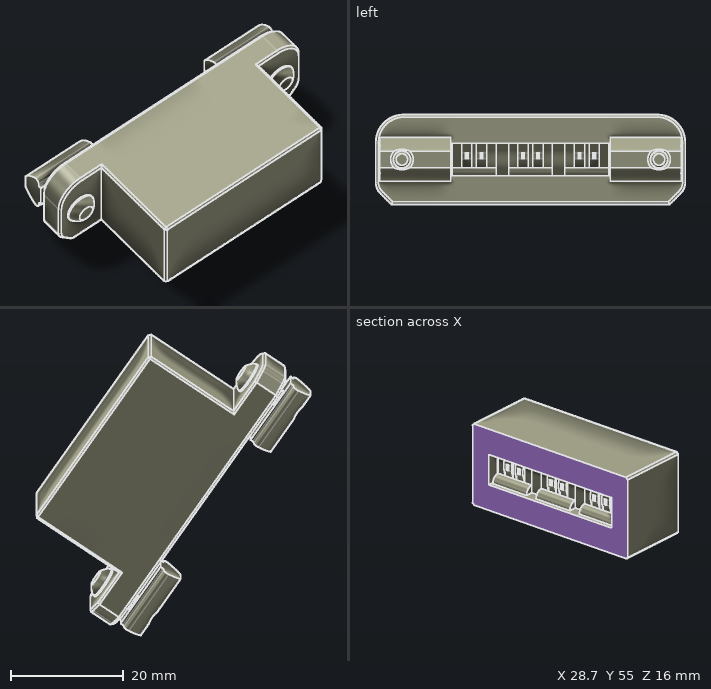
import cadquery as cq
import math


flange_length = 55.0
height = 16.0
flange_thickness = 5.0
top_corner_radius = 5.0
bottom_corner_cut = 2.8
bottom_corner_radius = 2.75
front_chamfer = 0.5
rear_chamfer = 0.4
box_width = 35.95
box_rear = 23.1
mid_height = height / 2

opening_width = 28.25
opening_height = 5.85
opening_floor = mid_height - opening_height / 2
opening_depth = 11.0
connector_count = 3
connector_pitch = 10.0
connector_width = 7.8
connector_depth = 7.7
lip_radius = 1.5
terminal_offset = 1.3
terminal_width = 1.8
terminal_base_height = opening_height - lip_radius
terminal_tip_height = 1.05
terminal_tip_drop = 1.75
terminal_reach = 0.45
pin_width = 0.5
pin_length = 0.3
pin_chamfer = 0.15

screw_spacing = 45.65
screw_diameter = 3.0
clearance_diameter = 3.5
screw_length = 9.9
screw_tip_chamfer = 0.5
head_diameter = 5.7
head_rim = 0.3
head_height = 1.7
head_flat_diameter = 3.0

nut_gap = 1.25
nut_thickness = 4.35
nut_length = 12.6
nut_inset = 0.75
nut_front_half = 1.5
nut_half_height = 3.9
nut_flank_radius = 6.6
nut_edge_radius = 0.7
nut_edge_angle = math.radians(26)
nut_shoulder_depth = 3.7
nut_neck_half = 2.4
nut_neck_radius = 0.3
nut_hole_diameter = 3.1
nut_countersink_diameter = 4.0
nut_countersink_depth = 0.55

connector_centers = [(i - (connector_count - 1) / 2) * connector_pitch for i in range(connector_count)]
sides = (-1, 1)


def box_between(x_range, y_range, z_range):
    """Axis-aligned block spanning the given ranges."""
    ranges = (x_range, y_range, z_range)
    sizes = [high - low for low, high in ranges]
    low_corner = tuple(low for low, high in ranges)
    return cq.Workplane("XY").box(*sizes, centered=False).translate(low_corner)


def cylinder_along_x(diameter, x_start, x_end, y):
    """Cylinder at mid height, parallel to X."""
    plane = cq.Workplane("YZ", origin=(x_start, y, mid_height))
    return plane.circle(diameter / 2).extrude(x_end - x_start)


def make_flange():
    """Plate with round top corners and cut bottom corners."""
    half = flange_length / 2
    flange = (
        cq.Workplane("YZ")
        .moveTo(-half + bottom_corner_cut, 0)
        .lineTo(half - bottom_corner_cut, 0)
        .lineTo(half, bottom_corner_cut)
        .lineTo(half, height)
        .lineTo(-half, height)
        .lineTo(-half, bottom_corner_cut)
        .close()
        .extrude(flange_thickness)
    )
    flange = flange.edges("|X and >Z").fillet(top_corner_radius)
    flange = flange.edges("|X and (<Y or >Y)").edges("<Z").fillet(bottom_corner_radius)
    return flange.faces("<X").chamfer(front_chamfer).faces(">X").chamfer(rear_chamfer)


def make_housing():
    """Flange and rear box, opened at the front for the connectors."""
    box_front = flange_thickness / 2
    box = box_between((box_front, box_rear), (-box_width / 2, box_width / 2), (0, height))
    box = box.edges("|X").chamfer(rear_chamfer).faces(">X").chamfer(rear_chamfer)
    housing = make_flange().union(box)
    opening = box_between(
        (0, opening_depth),
        (-opening_width / 2, opening_width / 2),
        (opening_floor, opening_floor + opening_height),
    )
    housing = housing.cut(opening)
    for center in connector_centers:
        pocket = box_between(
            (opening_depth, opening_depth + connector_depth),
            (center - connector_width / 2, center + connector_width / 2),
            (opening_floor, opening_floor + opening_height),
        )
        housing = housing.cut(pocket)
    for side in sides:
        hole = cylinder_along_x(clearance_diameter, 0, flange_thickness, side * screw_spacing / 2)
        housing = housing.cut(hole)
    return housing


def make_terminal(y, face_x):
    """Wedge standing on the connector face, with a pin at its tip."""
    top = opening_floor + opening_height
    tip_x = face_x - terminal_reach
    tip_top = top - terminal_tip_drop
    tip_bottom = tip_top - terminal_tip_height
    wedge = (
        cq.Workplane("XZ", origin=(0, y + terminal_width / 2, 0))
        .polyline([(face_x, top), (tip_x, tip_top), (tip_x, tip_bottom), (face_x, top - terminal_base_height)])
        .close()
        .extrude(terminal_width)
    )
    pin = box_between(
        (tip_x - pin_length, tip_x),
        (y - pin_width / 2, y + pin_width / 2),
        (tip_bottom, tip_top),
    )
    pin = pin.faces("<X").chamfer(pin_chamfer)
    return wedge.union(pin)


def make_connector(center):
    """Block with two terminals and a quarter-round lip along the foot of its front face."""
    face_x = opening_depth
    connector = box_between(
        (face_x, face_x + connector_depth),
        (center - connector_width / 2, center + connector_width / 2),
        (opening_floor, opening_floor + opening_height),
    )
    lip = (
        cq.Workplane("XZ", origin=(0, center + connector_width / 2, 0))
        .moveTo(face_x, opening_floor)
        .lineTo(face_x, opening_floor + lip_radius)
        .radiusArc((face_x - lip_radius, opening_floor), -lip_radius)
        .close()
        .extrude(connector_width)
    )
    connector = connector.union(lip)
    for side in sides:
        connector = connector.union(make_terminal(center + side * terminal_offset, face_x))
    return connector


def make_screw(side):
    """Button-head screw, turned about its own axis."""
    y = side * screw_spacing / 2
    shank = cylinder_along_x(screw_diameter, flange_thickness - screw_length, flange_thickness, y)
    shank = shank.faces("<X").chamfer(screw_tip_chamfer)
    rim_x = flange_thickness + head_rim
    end_x = flange_thickness + head_height
    rim = head_diameter / 2
    flat = head_flat_diameter / 2
    center_x = (end_x**2 + flat**2 - rim_x**2 - rim**2) / (2 * (end_x - rim_x))
    dome_radius = math.hypot(rim_x - center_x, rim)
    head = (
        cq.Workplane("XY")
        .moveTo(flange_thickness, 0)
        .lineTo(flange_thickness, rim)
        .lineTo(rim_x, rim)
        .radiusArc((end_x, flat), dome_radius)
        .lineTo(end_x, 0)
        .close()
        .revolve(360, (0, 0, 0), (1, 0, 0))
        .translate((0, y, mid_height))
    )
    return shank.union(head)


def make_nut_bar(y_center):
    """Solid bar with curved flanks and a narrower neck at the back."""
    front = -nut_gap - nut_thickness
    back = -nut_gap
    shoulder = front + nut_shoulder_depth
    edge_center_x = shoulder - nut_edge_radius
    edge_center_z = nut_half_height - nut_edge_radius
    flank_end = (
        edge_center_x - nut_edge_radius * math.sin(nut_edge_angle),
        edge_center_z + nut_edge_radius * math.cos(nut_edge_angle),
    )
    half_bar = (
        cq.Workplane("XZ", origin=(0, y_center + nut_length / 2, mid_height))
        .moveTo(front, 0)
        .lineTo(front, nut_front_half)
        .radiusArc(flank_end, nut_flank_radius)
        .radiusArc((shoulder, edge_center_z), nut_edge_radius)
        .lineTo(shoulder, nut_neck_half + nut_neck_radius)
        .radiusArc((shoulder + nut_neck_radius, nut_neck_half), -nut_neck_radius)
        .lineTo(back, nut_neck_half)
        .lineTo(back, 0)
        .close()
        .extrude(nut_length)
    )
    return half_bar.union(half_bar.mirror("XY", (0, 0, mid_height))).clean()


def make_nut(side):
    """Slot nut with a through hole, countersunk at the front."""
    front = -nut_gap - nut_thickness
    nut = make_nut_bar(side * (flange_length / 2 - nut_inset - nut_length / 2))
    screw_y = side * screw_spacing / 2
    countersink = (
        cq.Workplane("YZ", origin=(front, screw_y, mid_height))
        .circle(nut_countersink_diameter / 2)
        .workplane(offset=nut_countersink_depth)
        .circle(nut_hole_diameter / 2)
        .loft()
    )
    return nut.cut(cylinder_along_x(nut_hole_diameter, front, -nut_gap, screw_y)).cut(countersink)


housing = make_housing()
connectors = [make_connector(center) for center in connector_centers]
screws = [make_screw(side) for side in sides]
nuts = [make_nut(side) for side in sides]
bodies = [housing, *connectors, *screws, *nuts]
result = cq.Compound.makeCompound([body.val() for body in bodies])